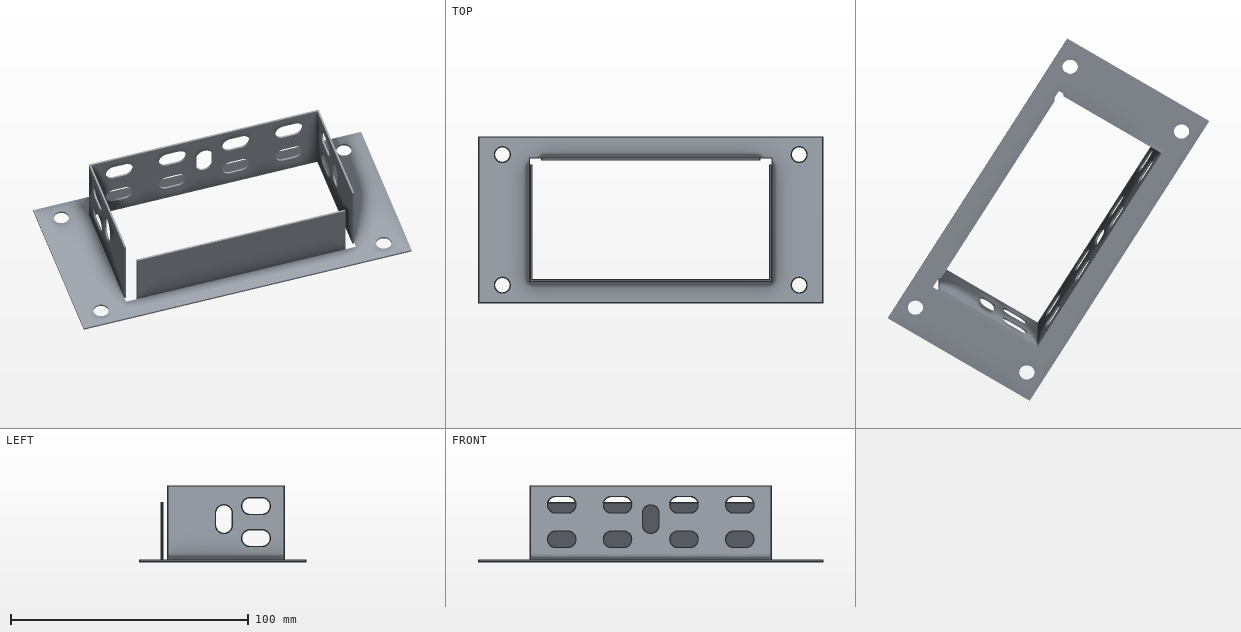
import cadquery as cq

sheet = 0.8
plate_length = 145.0
plate_width = 70.0
mount_hole_diameter = 6.5
mount_spacing_x = 125.0
mount_spacing_y = 55.0

opening_length = 102.0
opening_width = 52.0

wall_height = 32.0
rear_wall_height = 25.0
rear_wall_length = 92.0
side_wall_rear_gap = 2.8
side_wall_clearance = 0.2

slot_length = 12.0
slot_width = 7.0
upright_slot_z = 18.0
front_slot_offsets_x = (14.0, 37.5)
front_slot_heights = (9.5, 24.0)
side_slot_y = -14.0
side_upright_slot_y = -0.5
side_slot_heights = (10.0, 23.5)

front_wall_length = opening_length - 2 * side_wall_clearance
opening_front_y = -opening_width / 2
opening_rear_y = opening_width / 2
side_wall_length = opening_width - side_wall_rear_gap


def upright_box(length, width, height, center_x, center_y):
    """Block standing on the underside plane of the plate."""
    block = cq.Workplane("XY").box(length, width, height, centered=(True, True, False))
    return block.translate((center_x, center_y, 0))


def base_plate():
    plate = upright_box(plate_length, plate_width, sheet, 0, 0)
    opening = upright_box(opening_length, opening_width, sheet, 0, 0)
    holes = (
        cq.Workplane("XY")
        .rect(mount_spacing_x, mount_spacing_y, forConstruction=True)
        .vertices()
        .circle(mount_hole_diameter / 2)
        .extrude(sheet)
    )
    return plate.cut(opening).cut(holes)


def slot_tools(face, level_slot_centers, upright_slot_offset):
    """Cutters for a wall's level slots and its one upright slot, one sheet deep from the face."""
    level_slots = face.pushPoints(level_slot_centers).slot2D(slot_length, slot_width).extrude(sheet)
    upright_center = [(upright_slot_offset, upright_slot_z)]
    upright_slot = face.pushPoints(upright_center).slot2D(slot_length, slot_width, 90).extrude(sheet)
    return level_slots.union(upright_slot)


def front_wall():
    wall = upright_box(front_wall_length, sheet, wall_height, 0, opening_front_y + sheet / 2)
    slot_centers = [
        (side * offset, height)
        for side in (-1, 1)
        for offset in front_slot_offsets_x
        for height in front_slot_heights
    ]
    face = cq.Workplane("XZ", origin=(0, opening_front_y + sheet, 0))
    return wall.cut(slot_tools(face, slot_centers, 0))


def side_wall(side):
    """Side wall; side is -1 for the -X wall and +1 for the +X wall."""
    center_x = side * (front_wall_length - sheet) / 2
    center_y = opening_front_y + side_wall_length / 2
    wall = upright_box(sheet, side_wall_length, wall_height, center_x, center_y)
    slot_centers = [(side_slot_y, height) for height in side_slot_heights]
    face = cq.Workplane("YZ", origin=(center_x - sheet / 2, 0, 0))
    return wall.cut(slot_tools(face, slot_centers, side_upright_slot_y))


def rear_wall():
    return upright_box(rear_wall_length, sheet, rear_wall_height, 0, opening_rear_y - sheet / 2)


result = base_plate().union(front_wall()).union(rear_wall())
for side in (-1, 1):
    result = result.union(side_wall(side))